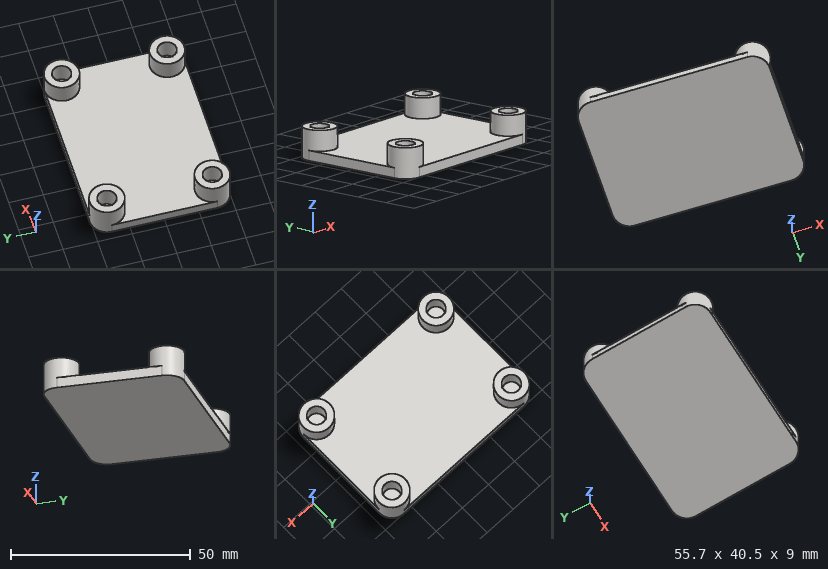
import cadquery as cq

length = 55.7
width = 40.45
height = 9.0

plate_thickness = 3.0
standoff_diameter = 10.0
hole_diameter = 5.4

spacing_x = length - standoff_diameter
spacing_y = width - standoff_diameter
hole_depth = height - plate_thickness


def make_plate():
    """Flat cross-shaped plate on Z = 0, notched at each corner up to the standoff centre."""
    long_bar = cq.Workplane("XY").rect(length, spacing_y).extrude(plate_thickness)
    wide_bar = cq.Workplane("XY").rect(spacing_x, width).extrude(plate_thickness)
    return long_bar.union(wide_bar)


def corner_cylinders(diameter, bottom, cylinder_height):
    """One upright cylinder at each of the four standoff centres."""
    base = cq.Workplane("XY").workplane(offset=bottom)
    centres = base.rect(spacing_x, spacing_y, forConstruction=True).vertices()
    return centres.circle(diameter / 2).extrude(cylinder_height)


standoffs = corner_cylinders(standoff_diameter, 0, height)

holes = corner_cylinders(hole_diameter, plate_thickness, hole_depth)

result = make_plate().union(standoffs).cut(holes)